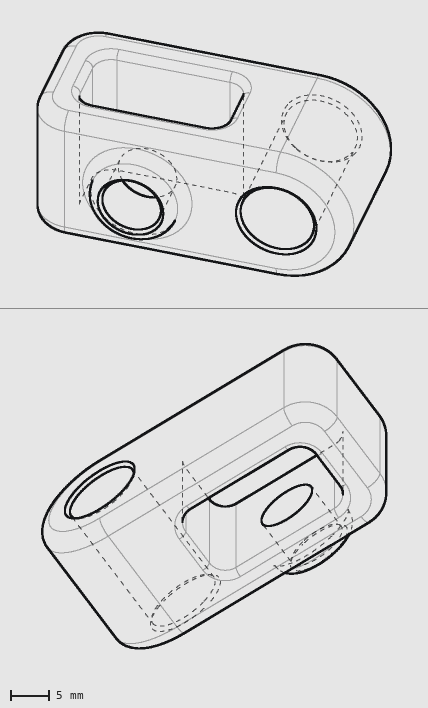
import cadquery as cq
import math

length = 44.0
height = 20.0
depth = 20.0
end_radius = height / 2
corner_radius = 5.0
edge_fillet = 2.0

hole_x = length - end_radius
hole_radius = 5.0
mouth_chamfer = 0.5

boss_x = 15.0
boss_radius = 6.0
boss_root_fillet = 1.5
boss_rim_fillet = 1.5
boss_height = boss_root_fillet + boss_rim_fillet
bore_radius = 4.0

window_left = 5.0
window_length = 20.5
window_width = 10.5
window_corner_radius = 2.5
window_fillet = 1.0
window_y = -0.25
window_x = window_left + window_length / 2

front_y = -depth / 2
back_y = depth / 2
boss_face_y = front_y - boss_height


def along_y(radius, x, start_y, end_y):
    """Cylinder parallel to Y, centred at Z = 0."""
    return cq.Workplane("XZ", origin=(x, start_y, 0)).circle(radius).extrude(start_y - end_y)


def mouth_cone(radius, x, face_y, inward):
    """Cutter that chamfers a hole mouth; inward is the sign of Y going into the part."""
    cone = cq.Solid.makeCone(
        radius + mouth_chamfer,
        radius,
        mouth_chamfer,
        cq.Vector(x, face_y, 0),
        cq.Vector(0, inward, 0),
    )
    return cq.Workplane(cone)


def make_body():
    """Block with a round +X end, rounded -X corners and filleted outer edges."""
    block = cq.Workplane("XY").box(hole_x, depth, height).translate((hole_x / 2, 0, 0))
    block = block.edges("|Z and <X").fillet(corner_radius)
    block = block.union(along_y(end_radius, hole_x, front_y, back_y))
    return block.faces("<Y or >Y or <X").edges("not |Z").fillet(edge_fillet)


def make_window():
    """Straight window cutter with rounded corners."""
    plate = cq.Workplane("XY").box(window_length, window_width, height)
    return plate.edges("|Z").fillet(window_corner_radius).translate((window_x, window_y, 0))


def round_window_mouths(body):
    """Fillet the window edges on the top and bottom faces."""
    half_length = window_length / 2 + window_fillet
    half_width = window_width / 2 + window_fillet
    around_window = cq.selectors.BoxSelector(
        (window_x - half_length, window_y - half_width, -height),
        (window_x + half_length, window_y + half_width, height),
        boundingbox=True,
    )
    return body.faces("<Z or >Z").edges(around_window).fillet(window_fillet)


def make_boss():
    """Turned boss with a concave root fillet and a convex rim fillet."""
    diagonal = math.sqrt(0.5)
    waist_y = front_y - boss_root_fillet
    root_center_radius = boss_radius + boss_root_fillet
    rim_center_radius = boss_radius - boss_rim_fillet
    root_middle = (
        root_center_radius - boss_root_fillet * diagonal,
        waist_y + boss_root_fillet * diagonal,
    )
    rim_middle = (
        rim_center_radius + boss_rim_fillet * diagonal,
        waist_y - boss_rim_fillet * diagonal,
    )
    profile = (
        cq.Workplane("XY")
        .moveTo(0, front_y)
        .lineTo(root_center_radius, front_y)
        .threePointArc(root_middle, (boss_radius, waist_y))
        .threePointArc(rim_middle, (rim_center_radius, boss_face_y))
        .lineTo(0, boss_face_y)
        .close()
    )
    return profile.revolve(360, (0, 0), (0, 1)).translate((boss_x, 0, 0))


result = make_body().cut(make_window())
result = round_window_mouths(result)
result = result.union(make_boss())

result = result.cut(along_y(bore_radius, boss_x, boss_face_y, window_y))
result = result.cut(mouth_cone(bore_radius, boss_x, boss_face_y, 1))

result = result.cut(along_y(hole_radius, hole_x, front_y, back_y))
result = result.cut(mouth_cone(hole_radius, hole_x, front_y, 1))
result = result.cut(mouth_cone(hole_radius, hole_x, back_y, -1))